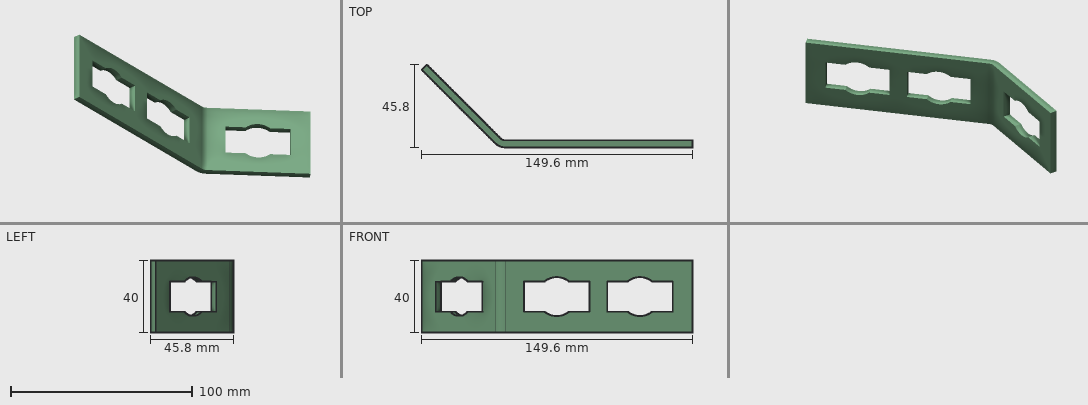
import cadquery as cq
import math

overall_length = 149.6
overall_depth = 45.8
strap_width = 40.0
thickness = 4.0
bend_angle = 45.0
inner_radius = 3.9

slot_length = 36.0
slot_height = 16.6
hole_diameter = 21.4
end_margin = 11.0
slot_pitch = 46.0
long_leg_openings = 2

outer_radius = inner_radius + thickness
bend_sin = math.sin(math.radians(bend_angle))
bend_cos = math.cos(math.radians(bend_angle))
short_leg = (overall_depth - outer_radius + inner_radius * bend_cos) / bend_sin
long_leg = overall_length - outer_radius * bend_sin - short_leg * bend_cos
slot_from_end = end_margin + slot_length / 2


def bend_point(radius, angle):
    """Point on a bend arc, at an angle turned away from the long leg."""
    turn = math.radians(angle)
    return (-radius * math.sin(turn), -radius * math.cos(turn))


def leg_end(start):
    """Corner of the short leg's free end, straight on from a point on the bend."""
    return (start[0] - short_leg * bend_cos, start[1] + short_leg * bend_sin)


def bent_strap():
    outer_tangent = bend_point(outer_radius, bend_angle)
    inner_tangent = bend_point(inner_radius, bend_angle)
    return (
        cq.Workplane("XY")
        .moveTo(long_leg, -outer_radius)
        .lineTo(0, -outer_radius)
        .threePointArc(bend_point(outer_radius, bend_angle / 2), outer_tangent)
        .lineTo(*leg_end(outer_tangent))
        .lineTo(*leg_end(inner_tangent))
        .lineTo(*inner_tangent)
        .threePointArc(bend_point(inner_radius, bend_angle / 2), (0, -inner_radius))
        .lineTo(long_leg, -inner_radius)
        .close()
        .extrude(strap_width / 2, both=True)
    )


def opening(x):
    """Cutter through a leg lying along X, centred at the given distance from the bend."""
    middle = (x, -(inner_radius + outer_radius) / 2, 0)
    slot = cq.Workplane("XZ", origin=middle).rect(slot_length, slot_height).extrude(thickness, both=True)
    hole = cq.Workplane("XZ", origin=middle).circle(hole_diameter / 2).extrude(thickness, both=True)
    return slot.union(hole)


result = bent_strap()

for index in range(long_leg_openings):
    result = result.cut(opening(long_leg - slot_from_end - index * slot_pitch))

short_leg_opening = opening(slot_from_end - short_leg).rotate((0, 0, 0), (0, 0, 1), -bend_angle)
result = result.cut(short_leg_opening)